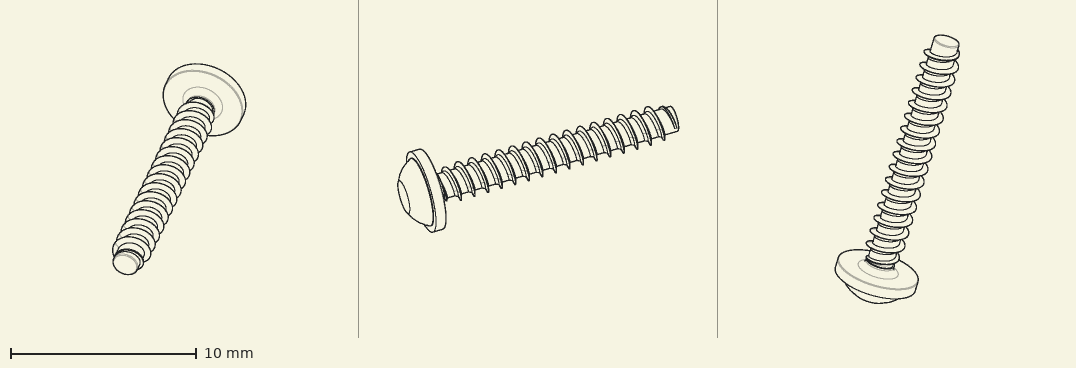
import cadquery as cq
import math


head_height = 1.6
flange_diameter = 4.5
flange_thickness = 0.60
seat_edge_fillet = 0.04
dome_skirt_height = 0.04
dome_base_radius = 1.90
dome_flat_radius = 0.92
dome_sphere_radius = 2.12

shank_length = 14.0
core_radius = 0.705
neck_radius = 0.79
neck_length = 0.44
neck_fillet = 0.33
point_height = 0.03
point_fillet = 0.05

pitch = 0.78
thread_radius = 1.03
crest_width = 0.02
runout_crest_width = 0.12
lower_flank_reach = 0.12
shoulder_reach = 0.09
shoulder_height = 0.08
upper_flank_reach = 0.27
root_overlap = 0.06
first_crest_depth = 0.14
samples_per_turn = 16

lead_in_start = 0.35
lead_in_end = 1.28
runout_start = 12.95
runout_end = 13.82

lead_in_radius = 0.77
runout_end_radius = 0.69


def make_blank():
    """Head, filleted neck, plain core and shallow conical point in one revolve."""
    flange_radius = flange_diameter / 2
    dome_base = (dome_base_radius, flange_thickness + dome_skirt_height)
    dome_flat = (dome_flat_radius, head_height)
    end_face_rim = -shank_length + point_height
    fillet_start = (neck_radius, -neck_fillet)
    fillet_end = (neck_radius + neck_fillet, 0)
    half_profile = (
        cq.Workplane("XY")
        .moveTo(0, -shank_length)
        .lineTo(core_radius - point_fillet, end_face_rim)
        .radiusArc((core_radius, end_face_rim + point_fillet), -point_fillet)
        .lineTo(core_radius, -neck_length)
        .lineTo(neck_radius, -neck_length)
        .lineTo(*fillet_start)
        .radiusArc(fillet_end, neck_fillet)
        .lineTo(flange_radius - seat_edge_fillet, 0)
        .radiusArc((flange_radius, seat_edge_fillet), -seat_edge_fillet)
        .lineTo(flange_radius, flange_thickness)
        .lineTo(dome_base_radius, flange_thickness)
        .lineTo(*dome_base)
        .radiusArc(dome_flat, -dome_sphere_radius)
        .lineTo(0, head_height)
    )
    return half_profile.close().revolve(360, (0, 0, 0), (0, 1, 0))


def helical_edge(start, end):
    """Right-hand helix about Y between two (depth, radius, axial offset) stations.

    Radius and axial offset change evenly along the way.
    """
    turns = (end[0] - start[0]) / pitch
    samples = math.ceil(turns * samples_per_turn)
    points = []
    for i in range(samples + 1):
        depth, radius, offset = (a + (b - a) * i / samples for a, b in zip(start, end))
        angle = 2 * math.pi * (depth - first_crest_depth) / pitch
        points.append(cq.Vector(radius * math.cos(angle), offset - depth, radius * math.sin(angle)))
    return cq.Edge.makeSpline(points)


def thread_section(depth, crest_radius, width):
    """Corner stations of the ridge profile where its crest centre is at a depth."""
    inner_radius = core_radius - root_overlap
    height_fraction = (crest_radius - inner_radius) / (thread_radius - inner_radius)
    shoulder_radius = inner_radius + (root_overlap + shoulder_height) * height_fraction
    lower_slope = (lower_flank_reach - crest_width / 2) / (thread_radius - core_radius)
    upper_slope = (upper_flank_reach - shoulder_reach) / shoulder_height
    return [
        (depth, inner_radius, -lower_flank_reach - lower_slope * root_overlap),
        (depth, crest_radius, -width / 2),
        (depth, crest_radius, width / 2),
        (depth, shoulder_radius, shoulder_reach),
        (depth, inner_radius, upper_flank_reach + upper_slope * root_overlap),
    ]


def make_thread():
    """Thread ridge: rising lead-in, full-height turns, then a truncated runout."""
    full_stretches = math.ceil((runout_start - lead_in_end) / pitch)
    stretch_depth = (runout_start - lead_in_end) / full_stretches
    sections = [thread_section(lead_in_start, lead_in_radius, crest_width)]
    for i in range(full_stretches + 1):
        sections.append(thread_section(lead_in_end + i * stretch_depth, thread_radius, crest_width))
    sections.append(thread_section(runout_end, runout_end_radius, runout_crest_width))
    faces = []
    stretches = []
    for upper, lower in zip(sections, sections[1:]):
        edges = [helical_edge(start, end) for start, end in zip(upper, lower)]
        stretches.append(edges)
        for edge, neighbour in zip(edges, edges[1:] + edges[:1]):
            faces.append(cq.Face.makeRuledSurface(edge, neighbour))
    first_corners = [edge.startPoint() for edge in stretches[0]]
    last_corners = [edge.endPoint() for edge in stretches[-1]]
    for corners in (first_corners, last_corners):
        faces.append(cq.Face.makeFromWires(cq.Wire.makePolygon(corners, close=True)))
    return cq.Workplane(obj=cq.Solid.makeSolid(cq.Shell.makeShell(faces)))


result = make_blank().union(make_thread())